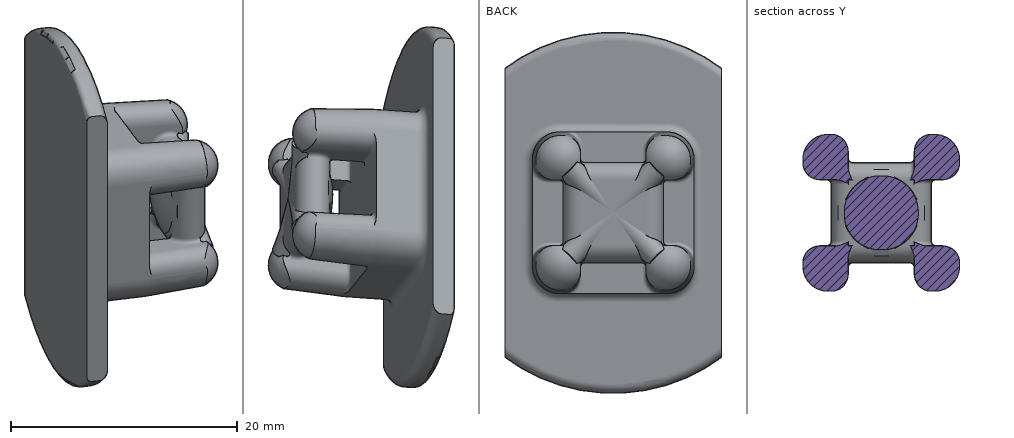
import cadquery as cq
import math


plate_radius = 15.88
plate_width = 19.05
plate_thickness = 1.9
plate_face_round = 0.4
plate_back_round = 0.75

block_width = 14.22
block_top = 6.48
block_corner_radius = 2.4
root_round = 0.75

total_height = 13.4
window_width = 5.78
post_draft = 3.4
post_edge_radius = 1.52
dome_base = 11.15
dome_radius = total_height - dome_base
dome_offset = 4.67
post_foot_round = 0.3

web_radius = 1.52
web_axis_height = 11.25
web_axis_offset = window_width / 2
collar_round = 0.38
collar_angle = 120.0
belly_depth = 0.8
belly_radius = 7.3
belly_width = 7.62

rib_curve_radius = 28.58
rib_half_span = 5.55
rib_radius = 1.1

slack = 0.03


def four_around(solid):
    """The solid and its copies at quarter turns about the height axis."""
    group = solid
    for turn in range(1, 4):
        group = group.union(solid.rotate((0, 0, 0), (0, 0, 1), 90 * turn))
    return group


def near(height, half_width):
    """Selects edges centred at this height, within a square about the height axis."""
    return cq.selectors.BoxSelector(
        (-half_width, -half_width, height - slack), (half_width, half_width, height + slack)
    )


def make_plate():
    """Disc with rounded rims, cut flat on two sides."""
    disc = cq.Workplane("XY").circle(plate_radius).extrude(plate_thickness)
    disc = disc.faces("<Z").edges().fillet(plate_face_round)
    disc = disc.faces(">Z").edges().fillet(plate_back_round)
    sides = cq.Workplane("XY").box(plate_width, 2 * plate_radius, 2 * plate_thickness)
    return disc.intersect(sides)


def block_outline(height):
    """Rounded square at the given height, ready to extrude."""
    square = cq.Sketch().rect(block_width, block_width).vertices().fillet(block_corner_radius)
    return cq.Workplane("XY").workplane(offset=height).placeSketch(square)


def make_post():
    """Post in the +x, +y corner, rounded into the block and topped by a ball-shaped dome."""
    height = total_height - block_top
    inner_face = window_width / 2
    cover_width = 2 * block_width
    envelope = block_outline(block_top).extrude(height, taper=post_draft)
    quarter = (
        cq.Workplane("XY", origin=(inner_face, inner_face, block_top))
        .rect(block_width, block_width, centered=False)
        .extrude(height)
    )
    post = envelope.intersect(quarter)

    middle = block_top + height / 2
    beside_x_window = cq.selectors.BoxSelector(
        (0, dome_offset, middle - slack), (inner_face + slack, block_width, middle + slack)
    )
    beside_y_window = cq.selectors.BoxSelector(
        (dome_offset, 0, middle - slack), (block_width, inner_face + slack, middle + slack)
    )
    post = post.edges(beside_x_window + beside_y_window).fillet(post_edge_radius)

    slab = (
        cq.Workplane("XY")
        .workplane(offset=block_top)
        .rect(cover_width, cover_width)
        .extrude(-root_round)
    )
    foot = near(block_top, block_width / 2 + slack)
    post = slab.union(post).edges(foot).fillet(post_foot_round).intersect(envelope)

    shaft = (
        cq.Workplane("XY")
        .workplane(offset=block_top)
        .rect(cover_width, cover_width)
        .extrude(dome_base - block_top)
    )
    ball = cq.Workplane("XY").sphere(dome_radius).translate((dome_offset, dome_offset, dome_base))
    return post.intersect(shaft.union(ball))


def make_web():
    """Square plate whose four edges are full half-rounds."""
    core_width = 2 * web_axis_offset
    web = cq.Workplane("XY").box(core_width, core_width, 2 * web_radius)
    edge_bar = (
        cq.Workplane("XZ", origin=(web_axis_offset, web_axis_offset, 0))
        .circle(web_radius)
        .extrude(2 * web_axis_offset)
    )
    for turn in range(4):
        web = web.union(edge_bar.rotate((0, 0, 0), (0, 0, 1), 90 * turn))
    return web.translate((0, 0, web_axis_height))


def make_collar():
    """Hollow rounding where the web edge on the +x side meets the +y post."""
    mid_arc = collar_round * (1 - math.sqrt(0.5))
    profile = (
        cq.Workplane("YZ")
        .lineTo(-collar_round, 0)
        .lineTo(-collar_round, -web_radius)
        .threePointArc((-mid_arc, -web_radius - mid_arc), (0, -web_radius - collar_round))
        .close()
    )
    collar = profile.revolve(collar_angle, (0, 0), (-1, 0))
    return collar.translate((web_axis_offset, web_axis_offset, web_axis_height))


def make_belly():
    """Spherical cap under the web."""
    lowest = web_axis_height - web_radius - belly_depth
    ball = cq.Workplane("XY").sphere(belly_radius).translate((0, 0, lowest + belly_radius))
    below_axis = cq.Workplane("XY").rect(belly_width, belly_width).extrude(web_axis_height)
    return ball.intersect(below_axis)


def make_rib():
    """Sagging round rib along x, lowest at the middle."""
    half_angle = math.degrees(math.asin(rib_half_span / rib_curve_radius))
    rib = (
        cq.Workplane("YZ")
        .circle(rib_radius)
        .revolve(2 * half_angle, (-0.32, rib_curve_radius), (0.32, rib_curve_radius))
        .rotate((0, 0, rib_curve_radius), (0, 1, rib_curve_radius), -half_angle)
    )
    return rib.translate((0, 0, web_axis_height + web_radius - rib_radius))


body = make_plate().union(block_outline(0).extrude(block_top))
body = body.edges(near(plate_thickness, block_width / 2 + slack)).fillet(root_round)
body = body.union(four_around(make_post()))
body = body.union(make_web())
body = body.union(four_around(make_collar()))
body = body.union(four_around(make_collar().mirror("XZ")))
body = body.union(make_belly())
for angle in (45, 135):
    body = body.union(make_rib().rotate((0, 0, 0), (0, 0, 1), angle))

result = body.rotate((0, 0, 0), (1, 0, 0), -90)